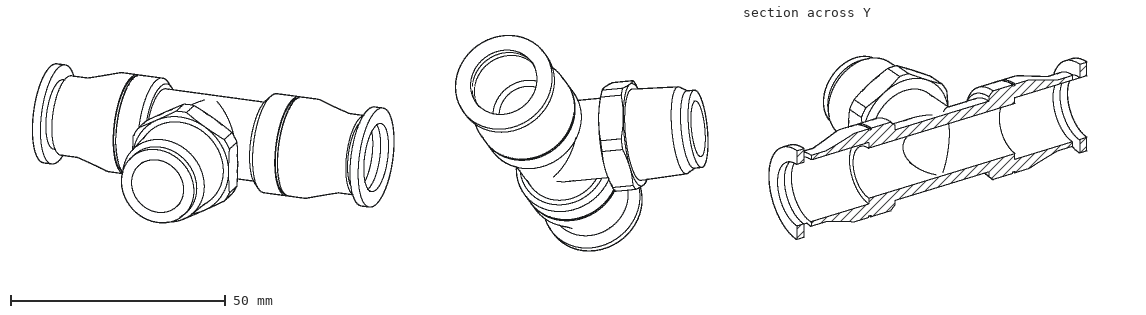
import cadquery as cq

run_length = 81.4
half_run = run_length / 2
tube_diameter = 18.6
flow_bore = 13.0
socket_bore = 16.0

collar_diameter = 23.4
flange_thickness = 2.0
neck_diameter = 16.4
neck_end = 4.0
sleeve_diameter = 18.7
sleeve_end = 8.2
cone_end = 16.2
groove_start = 20.2
groove_width = 0.65
groove_diameter = 22.6
collar_length = 27.6
collar_chamfer = 1.2
socket_depth = groove_start

nut_start = 15.2
nut_end = 21.2
nut_across_flats = 24.0
nut_corner_diameter = 26.4
nut_chamfer_length = 0.5
thread_start_diameter = 21.4
thread_end_diameter = 20.4
thread_end = 32.2
tip_start = 34.2
tip_diameter = 18.15
branch_length = 36.02


def socket_body():
    """Turned outside of the socket at the -X end."""
    collar_radius = collar_diameter / 2
    groove_radius = groove_diameter / 2
    sleeve_radius = sleeve_diameter / 2
    neck_radius = neck_diameter / 2
    groove_end = groove_start + groove_width
    profile = [
        (0, 0),
        (0, collar_radius),
        (flange_thickness, collar_radius),
        (flange_thickness, neck_radius),
        (neck_end, neck_radius),
        (neck_end, sleeve_radius),
        (sleeve_end, sleeve_radius),
        (cone_end, collar_radius),
        (groove_start, collar_radius),
        (groove_start, groove_radius),
        (groove_end, groove_radius),
        (groove_end, collar_radius),
        (collar_length - collar_chamfer, collar_radius),
        (collar_length, collar_radius - collar_chamfer),
        (collar_length, 0),
    ]
    turned = cq.Workplane("XY").polyline(profile).close().revolve(360, (0, 0), (1, 0))
    return turned.translate((-half_run, 0, 0))


def turned_along_branch(profile):
    """Revolve a (radius, distance from run axis) profile about the branch axis."""
    points = [(radius, -distance) for radius, distance in profile]
    return cq.Workplane("XY").polyline(points).close().revolve(360, (0, 0), (0, 1))


def branch_body():
    """Branch tube and tapered thread with its stepped tip."""
    return turned_along_branch([
        (0, 0),
        (tube_diameter / 2, 0),
        (tube_diameter / 2, nut_end),
        (thread_start_diameter / 2, nut_end),
        (thread_end_diameter / 2, thread_end),
        (tip_diameter / 2, tip_start),
        (tip_diameter / 2, branch_length),
        (0, branch_length),
    ])


def nut():
    """Hexagon with corners up and down, trimmed round and chamfered at both faces."""
    hexagon = (
        cq.Workplane("XZ", origin=(0, -nut_start, 0))
        .polygon(6, nut_across_flats, circumscribed=True)
        .extrude(nut_end - nut_start)
    )
    face_radius = nut_across_flats / 2
    corner_radius = nut_corner_diameter / 2
    envelope = turned_along_branch([
        (0, nut_start),
        (face_radius, nut_start),
        (corner_radius, nut_start + nut_chamfer_length),
        (corner_radius, nut_end - nut_chamfer_length),
        (face_radius, nut_end),
        (0, nut_end),
    ])
    return hexagon.intersect(envelope)


def run_cylinder(diameter, start, length):
    """Cylinder about the run axis, starting at X = start."""
    return cq.Workplane("YZ", origin=(start, 0, 0)).circle(diameter / 2).extrude(length)


left_socket = socket_body()
body = run_cylinder(tube_diameter, collar_length - half_run, run_length - 2 * collar_length)
body = body.union(left_socket).union(left_socket.mirror("YZ"))
body = body.union(branch_body()).union(nut())

body = body.cut(run_cylinder(flow_bore, -half_run, run_length))
body = body.cut(cq.Workplane("XZ").circle(flow_bore / 2).extrude(branch_length))

for socket_start in (-half_run, half_run - socket_depth):
    body = body.cut(run_cylinder(socket_bore, socket_start, socket_depth))

result = body